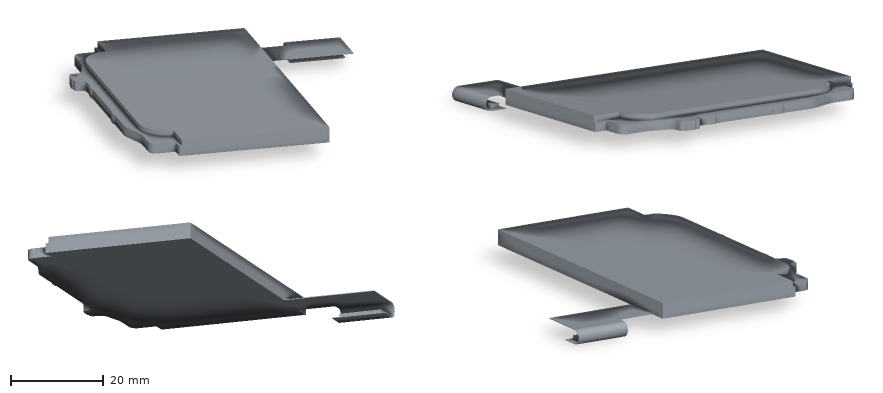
import cadquery as cq
import math

panel_width = 68.35
panel_height = 3.55
board_thickness = 2.2
cover_front = -33.1
shoulder_front = -33.7
tongue_width = 54.7
tongue_front = -39.15
tongue_radius = 6.35

lug_width = 62.5
lug_front = -39.45
lug_radius = 1.65
edge_front = -41.55
slope_top_x = 24.2
slope_end_x = 18.25
slope_top_radius = 6.15
slope_end_radius = 5.0

bump_offset = 8.95
bump_base = 2.25
bump_crest = 1.8
bump_rise = 0.24
bump_radius = 0.35

tab_center = -15.9
tab_width = 5.2
tab_front = -44.15
tab_root_left = -41.1
tab_root_left_radius = 1.85
tab_root_right_radius = 1.1
tab_corner_radius = 0.75

flex_thickness = 0.17
flex_right = -21.25
flex_neck_left = -29.95
flex_bend_x = -31.8
flex_length = 20.9
flex_step = 8.5
flex_bottom = -3.2
flex_lower_end = -27.9
connector_left = -31.0
connector_width = 2.2
connector_height = 0.95
connector_inset = 1.4


def toward(start, end, distance):
    """Return the point at a distance from start on the way to end."""
    share = distance / math.dist(start, end)
    return (start[0] + (end[0] - start[0]) * share, start[1] + (end[1] - start[1]) * share)


def rounded_outline(corners):
    """Draw a closed outline through (x, y, radius) corners; radius 0 keeps a corner sharp."""
    outline = None
    for index, (x, y, radius) in enumerate(corners):
        corner = (x, y)
        before = corners[index - 1][:2]
        after = corners[(index + 1) % len(corners)][:2]
        if outline is None:
            outline = cq.Workplane("XY").moveTo(x, y)
        elif radius == 0:
            outline = outline.lineTo(x, y)
        else:
            leg_before = toward(corner, before, 0.7)
            leg_after = toward(corner, after, 0.7)
            half_angle = math.asin(math.dist(leg_before, leg_after) / 1.4)
            tangent = radius / math.tan(half_angle)
            middle_of_legs = ((leg_before[0] + leg_after[0]) / 2, (leg_before[1] + leg_after[1]) / 2)
            arc_middle = toward(corner, middle_of_legs, radius / math.sin(half_angle) - radius)
            outline = outline.lineTo(*toward(corner, before, tangent))
            outline = outline.threePointArc(arc_middle, toward(corner, after, tangent))
    return outline.close()


def bump_corners(center, base_y):
    """Corners of one shallow bump standing on base_y, listed from right to left."""
    crest_y = base_y - bump_rise
    return [
        (center + bump_base / 2, base_y, bump_radius),
        (center + bump_crest / 2, crest_y, bump_radius),
        (center - bump_crest / 2, crest_y, bump_radius),
        (center - bump_base / 2, base_y, bump_radius),
    ]


def tab_corners():
    """Corners of the locating tab, listed from right to left."""
    right = tab_center + tab_width / 2
    left = tab_center - tab_width / 2
    end_y = tab_front + bump_rise
    return [
        (right, edge_front, tab_root_right_radius),
        (right, end_y, tab_corner_radius),
        *bump_corners(tab_center, end_y),
        (left, end_y, tab_corner_radius),
        (left, tab_root_left, tab_root_left_radius),
    ]


def make_board():
    """Lower layer of the panel, with the shaped front edge."""
    half = panel_width / 2
    lug = lug_width / 2
    corners = [
        (-half, 0, 0),
        (half, 0, 0),
        (half, shoulder_front, 0),
        (lug, shoulder_front, 0),
        (lug, lug_front, lug_radius),
        (slope_top_x, lug_front, slope_top_radius),
        (slope_end_x, edge_front, slope_end_radius),
        *bump_corners(bump_offset, edge_front),
        *bump_corners(-bump_offset, edge_front),
        *tab_corners(),
        (-slope_top_x, lug_front, slope_top_radius),
        (-lug, lug_front, lug_radius),
        (-lug, shoulder_front, 0),
        (-half, shoulder_front, 0),
    ]
    return rounded_outline(corners).extrude(board_thickness)


def make_cover():
    """Upper layer of the panel, with a rounded tongue at the front."""
    thickness = panel_height - board_thickness
    plate = cq.Workplane("XY").box(panel_width, -cover_front, thickness, centered=(True, False, False))
    tongue = cq.Workplane("XY").box(tongue_width, -tongue_front, thickness, centered=(True, False, False))
    tongue = tongue.translate((0, tongue_front, 0)).edges("|Z and <Y").fillet(tongue_radius)
    return plate.translate((0, cover_front, 0)).union(tongue).translate((0, 0, board_thickness))


def make_panel():
    return make_board().union(make_cover())


def make_flex():
    """Flexible tail folded under itself, carrying the connector."""
    underside = 0.0
    top = underside + flex_thickness
    outer_radius = (top - flex_bottom) / 2
    inner_radius = outer_radius - flex_thickness
    middle = flex_bottom + outer_radius
    fold = (
        cq.Workplane("XZ", origin=(0, flex_length, 0))
        .moveTo(flex_right, top)
        .lineTo(flex_bend_x, top)
        .threePointArc((flex_bend_x - outer_radius, middle), (flex_bend_x, flex_bottom))
        .lineTo(flex_lower_end, flex_bottom)
        .lineTo(flex_lower_end, flex_bottom + flex_thickness)
        .lineTo(flex_bend_x, flex_bottom + flex_thickness)
        .threePointArc((flex_bend_x - inner_radius, middle), (flex_bend_x, underside))
        .lineTo(flex_right, underside)
        .close()
        .extrude(flex_length - flex_step)
    )
    neck = cq.Workplane("XY").box(flex_right - flex_neck_left, flex_step, flex_thickness, centered=False)
    neck = neck.translate((flex_neck_left, 0, underside))
    connector_length = flex_length - flex_step - 2 * connector_inset
    connector = cq.Workplane("XY").box(connector_width, connector_length, connector_height, centered=False)
    connector = connector.translate((connector_left, flex_step + connector_inset, flex_bottom + flex_thickness))
    return fold.union(neck).union(connector)


panel = make_panel()
flex = make_flex()

result = cq.Compound.makeCompound([panel.val(), flex.val()])